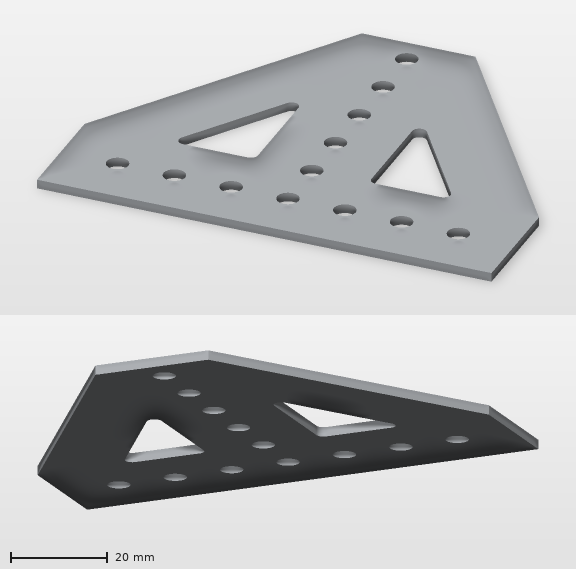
import cadquery as cq

pitch = 12.7
thickness = 2.032
hole_diameter = 4.85
row_hole_count = 7
column_hole_count = 6
window_base = 1.5 * pitch
window_height = 2.25 * pitch
window_corner_radius = 1.5875

base_half_width = (row_hole_count + 1) * pitch / 2
top_half_width = pitch
shoulder_height = 2 * pitch
plate_height = (column_hole_count + 0.5) * pitch

window_inner_x = pitch
window_bottom_y = shoulder_height


def make_plate():
    """Flat plate with a wide base tapering to a narrow top edge."""
    return (
        cq.Workplane("XY")
        .polyline([
            (-base_half_width, 0),
            (base_half_width, 0),
            (base_half_width, shoulder_height),
            (top_half_width, plate_height),
            (-top_half_width, plate_height),
            (-base_half_width, shoulder_height),
        ])
        .close()
        .extrude(thickness)
    )


def make_window(side):
    """Rounded right-triangle cutter; side is +1 or -1 for the X direction."""
    return (
        cq.Workplane("XY")
        .polyline([
            (side * window_inner_x, window_bottom_y),
            (side * (window_inner_x + window_base), window_bottom_y),
            (side * window_inner_x, window_bottom_y + window_height),
        ])
        .close()
        .extrude(thickness)
        .edges("|Z")
        .fillet(window_corner_radius)
    )


def make_holes():
    """Cutters for the T-shaped hole pattern: a base row and a centre column."""
    row_start = -(row_hole_count - 1) * pitch / 2
    row = [(row_start + i * pitch, pitch) for i in range(row_hole_count)]
    column = [(0, i * pitch) for i in range(2, column_hole_count + 1)]
    return (
        cq.Workplane("XY")
        .pushPoints(row + column)
        .circle(hole_diameter / 2)
        .extrude(thickness)
    )


result = make_plate().cut(make_holes())
for side in (-1, 1):
    result = result.cut(make_window(side))